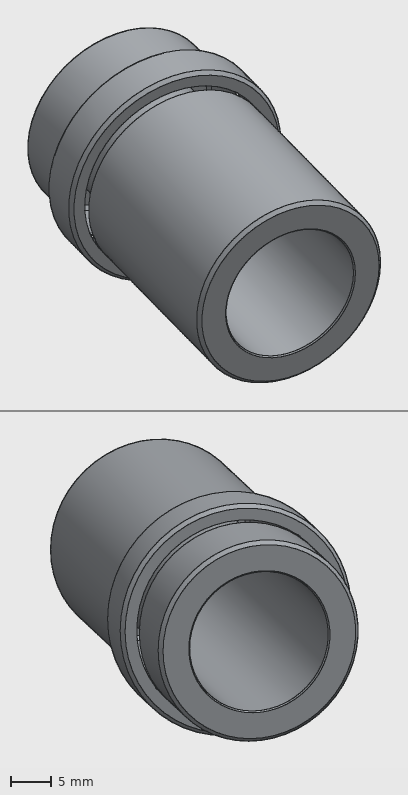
import cadquery as cq

length = 44.0
body_radius = 26.0 / 2
collar_radius = 30.0 / 2
bore_radius = 18.0 / 2

collar_start = 9.0
collar_width = 6.0
collar_end = collar_start + collar_width
groove_width = 1.0
groove_radius = groove_width / 2

outer_chamfer = 0.5
bore_chamfer = 0.18


def cylinder(start, end, radius):
    """Solid cylinder along X between two stations."""
    return cq.Workplane("YZ").workplane(offset=start).circle(radius).extrude(end - start)


def relief_groove(start):
    """Ring of round section, centred on the body surface, to be cut from the body."""
    return (
        cq.Workplane("XY")
        .center(start + groove_radius, body_radius)
        .circle(groove_radius)
        .revolve(360, (0, -body_radius, 0), (1, -body_radius, 0))
    )


body = cylinder(0, length, body_radius).edges().chamfer(outer_chamfer)
for groove_start in (collar_start - groove_width, collar_end):
    body = body.cut(relief_groove(groove_start))

collar = cylinder(collar_start, collar_end, collar_radius).edges().chamfer(outer_chamfer)

bore = cylinder(0, length, bore_radius)
sleeve = body.union(collar).cut(bore)
bore_mouths = cq.selectors.RadiusNthSelector(0)
result = sleeve.faces("<X or >X").edges(bore_mouths).chamfer(bore_chamfer)